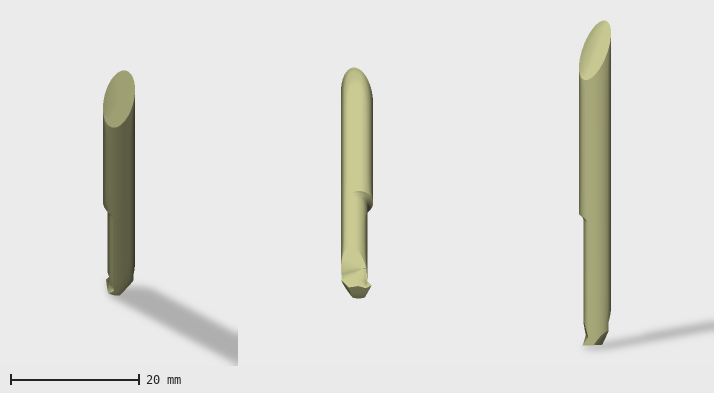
import cadquery as cq
import math

length = 51.6
diameter = 5.0
radius = diameter / 2
bevel_angle = math.radians(60)

neck_shift = 0.9
neck_top = 20.3
neck_fillet = neck_shift

flat_y = 0.3
flat_top = 4.25
heel_top = 2.85
heel_bottom = 0.5
heel_bottom_x = 1.25

head_top = 1.9
tip_x = -2.4
tip = cq.Vector(tip_x, 0, 0)
flank_upper = cq.Vector(-1.5, -0.45, 1.75)
flank_front = cq.Vector(-0.5, -2.4, 0.55)

notch_angle = 227.2
notch_lower = (2.1, 0.55)
notch_root = (1.35, head_top)
notch_upper = (1.85, 4.15)

groove_bottom_x = -1.35
groove_bottom_y = -0.45
groove_inner_x = -0.25
groove_runout = 0.6

joint_top_x = 0.6
joint_low = (-0.25, 0.65)

margin = 2 * diameter


def along_line(start, end, position):
    """Second coordinate of the line through start and end at the given first coordinate."""
    slope = (end[1] - start[1]) / (end[0] - start[0])
    return start[1] + slope * (position - start[0])


def half_space(point, outward):
    """Large block on the outward side of a plane."""
    plane = cq.Plane(origin=point.toTuple(), normal=outward.toTuple())
    return cq.Workplane(plane).rect(2 * margin, 2 * margin).extrude(margin)


def bar_cylinder(top):
    return cq.Workplane("XY").circle(radius).extrude(top)


def neck_envelope():
    """Shifted cylinder that flares through a concave fillet to clear the bar above it."""
    flare_radius = radius + neck_fillet
    flare_top = neck_top + neck_fillet
    arc_offset = neck_fillet * math.sqrt(0.5)
    arc_middle = (flare_radius - arc_offset, neck_top + arc_offset)
    return (
        cq.Workplane("XZ")
        .lineTo(radius, 0)
        .lineTo(radius, neck_top)
        .threePointArc(arc_middle, (flare_radius, flare_top))
        .lineTo(margin, flare_top)
        .lineTo(margin, length)
        .lineTo(0, length)
        .close()
        .revolve(360, (0, 0), (0, 1))
        .translate((neck_shift, 0, 0))
    )


def cutting_flank():
    """Material outside the flank plane below the cutting tip."""
    outward = (flank_front - tip).cross(flank_upper - tip)
    return half_space(tip, outward)


def end_relief():
    """Material below the end face, which rises from the tip toward +X and -Y."""
    heel = cq.Vector(heel_bottom_x, 0, heel_bottom)
    outward = (flank_front - tip).cross(heel - tip) * -1
    return half_space(tip, outward)


def notch():
    lower_z = along_line(notch_root, notch_lower, margin)
    upper_z = along_line(notch_root, notch_upper, margin)
    outline = [notch_root, (margin, lower_z), (margin, upper_z)]
    return (
        cq.Workplane("XZ")
        .polyline(outline)
        .close()
        .extrude(margin, both=True)
        .rotate((0, 0, 0), (0, 0, 1), notch_angle)
    )


def heel():
    start = (heel_bottom_x, heel_bottom)
    end = (radius, heel_top)
    low_x = 0
    outline = [(low_x, along_line(start, end, low_x)), (margin, along_line(start, end, margin)), (margin, -margin)]
    return cq.Workplane("XZ").polyline(outline).close().extrude(margin, both=True)


def back_flat():
    """Flat on the +Y side with a bevel running out above it."""
    bevel_top = flat_top + (margin - flat_y) * math.tan(bevel_angle)
    outline = [(flat_y, -margin), (flat_y, flat_top), (margin, bevel_top), (margin, -margin)]
    return cq.Workplane("YZ").polyline(outline).close().extrude(margin, both=True)


def chip_groove():
    """Straight groove beside the tip that runs out gradually above it."""
    bottom = (groove_bottom_x, groove_bottom_y)
    outer_y = along_line((tip_x, 0), bottom, -margin)
    outline = [(-margin, outer_y), bottom, (groove_inner_x, flat_y), (groove_inner_x, margin), (-margin, margin)]
    raised_outline = [(x, y + groove_runout) for x, y in outline]
    straight = cq.Workplane("XY").polyline(outline).close().extrude(head_top)
    runout = (
        cq.Workplane("XY", origin=(0, 0, head_top))
        .polyline(outline)
        .close()
        .workplane(offset=flat_top - head_top)
        .polyline(raised_outline)
        .close()
        .loft(ruled=True)
    )
    return straight.union(runout)


def tip_zone():
    """Space of the cutting tip: below the head top and left of the slanted joint."""
    slant_x = along_line((joint_low[1], joint_low[0]), (head_top, joint_top_x), 0)
    outline = [(-margin, 0), (slant_x, 0), (joint_top_x, head_top), (-margin, head_top)]
    return cq.Workplane("XZ").polyline(outline).close().extrude(margin, both=True)


def top_bevel():
    low_z = length - diameter * math.tan(bevel_angle)
    end_z = along_line((-radius, low_z), (radius, length), -margin)
    outline = [(radius, length), (-margin, end_z), (-margin, length + margin), (radius, length + margin)]
    return cq.Workplane("YZ").polyline(outline).close().extrude(margin, both=True)


def boring_bar():
    """Complete tool shape before it is divided into its two bodies."""
    necked_bar = bar_cylinder(length).intersect(neck_envelope())
    tip_block = bar_cylinder(head_top).cut(cutting_flank())
    bar = necked_bar.cut(bar_cylinder(head_top)).union(tip_block)
    for cutter in (end_relief(), notch(), heel(), back_flat(), chip_groove(), top_bevel()):
        bar = bar.cut(cutter)
    return bar


bar = boring_bar()
cutting_tip = bar.intersect(tip_zone())
shank = bar.cut(tip_zone())

result = cq.Compound.makeCompound([*cutting_tip.solids().vals(), *shank.solids().vals()])